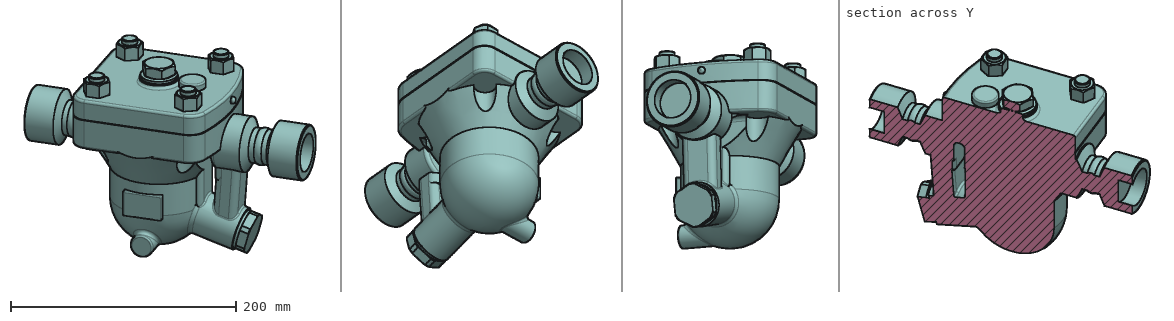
import cadquery as cq
import math


OVERLAP = 1.0
HEX_CHAMFER_ANGLE = 30.0

PLATE_SIDE_X = -62.5
PLATE_CROWN_X = 68.75
PLATE_HALF_WIDTH = 62.5
BOW_RADIUS = 177.0
FLAT_SIDE_CORNER = 14.0
BOWED_SIDE_CORNER = 16.8
FLANGE_BOTTOM = 1.3
GASKET_BOTTOM = 29.2
GASKET_THICKNESS = 0.5
GASKET_INSET = 0.4
COVER_TOP = 48.6
PLATE_EDGE_ROUND = 2.5

BOWL_RADIUS = 43.8
SPHERE_Z = -62.4
CONE_BOTTOM = -32.3
CONE_TOP = 6.0
CONE_HALF_ANGLE = 30.0

STUD_OFFSET = 43.1
STUD_DIAMETER = 14.0
STUD_TOP = 65.9
STUD_CHAMFER = 0.8
NUT_FLATS = 21.0
NUT_FACE_DIAMETER = 20.0
NUT_TOP = 61.6
NUT_RELIEF_DIAMETER = 20.0

PLUG_BOSS_DIAMETER = 33.0
PLUG_BOSS_TOP = 51.6
PLUG_GASKET_DIAMETER = 34.5
PLUG_GASKET_TOP = 53.0
PLUG_COLLAR_TOP = 55.3
PLUG_NECK_DIAMETER = 24.0
PLUG_HEX_FLATS = 26.6
PLUG_FACE_DIAMETER = 25.3
PLUG_HEX_BOTTOM = 55.8
PLUG_HEX_TOP = 66.4

PAD_X = 31.7
PAD_DIAMETER = 24.0
PAD_TOP = 55.3
PAD_ROUND = 1.5

KNOB_DIAMETER = 6.4
KNOB_Z = 40.6
KNOB_END_X = 72.4
KNOB_ROUND = 2.7

INLET_END_X = -118.5
OUTLET_END_X = 139.5
PIPE_DIAMETER = 50.4
NECK_DIAMETER = 32.0
WELD_DIAMETER = 34.0
SOCKET_BORE = 34.5
SOCKET_DEPTH = 14.0
END_CHAMFER = 1.0
BARREL_LENGTH = 27.7
NECK_START = 32.5
WELD_START = 37.4
WELD_END = 44.3
NECK_END = 49.5
TAPER_END = 54.7

SLOT_NEAR_X = 46.4
SLOT_FAR_X = 56.6
SLOT_TOP = 0.9
SLOT_CORNER = 4.0
OUTLET_NOSE_ROUND = 3.4

PASSAGE_WIDTH = 31.3
LEG_LENGTH_X = 22.1
LEG_TOP_CENTRE_X = 71.0
LEG_TILT = 4.0
LEG_CORNER = 6.4
UPRIGHT_CORNER = 7.8
LEG_HEIGHT = 85.0
LEG_KNEE_Z = -32.2
RIB_CORNER = 5.0
RIB_DEPTH = 20.0

BRANCH_TILT = 15.0
BRANCH_DIAMETER = 40.0
BRANCH_END = 80.5
BRANCH_ROOT_FILLET = 6.0
ROOT_SINK = 0.05
LEG_ROOT_FILLET = 1.8
RIB_ROOT_FILLET = 1.8
CAP_GASKET_DIAMETER = 36.0
CAP_HEX_START = 83.5
CAP_HEX_END = 92.2
CAP_FLATS = 36.0
CAP_TURNED_DIAMETER = 39.2
CAP_FACE_DIAMETER = 38.0

DRAIN_DIAMETER = 21.0
DRAIN_Z = -92.9
DRAIN_FACE_Y = -46.2
DRAIN_EDGE_ROUND = 1.5
DRAIN_ROOT_FILLET = 3.0

NAME_PAD_LENGTH = 36.4
NAME_PAD_HEIGHT = 24.0
NAME_PAD_Z = -54.3
NAME_PAD_FACE_Y = -44.8
NAME_PAD_DEPTH = 10.0
NAME_PAD_ROUND = 1.5
NAME_PAD_EDGE_ROUND = 1.0


def rod(diameter, start_z, end_z):
    """Cylinder on the Z axis."""
    return cq.Workplane("XY").workplane(offset=start_z).circle(diameter / 2).extrude(end_z - start_z)


def box_between(low, high):
    """Selector for edges whose centres lie in a box, widened slightly on every side."""
    return cq.selectors.BoxSelector(
        tuple(value - OVERLAP for value in low), tuple(value + OVERLAP for value in high)
    )


def hexagon(flats, start_z, end_z):
    """Hexagon on the Z axis with corners toward X."""
    prism = cq.Workplane("XY").polygon(6, corner_diameter(flats)).extrude(end_z - start_z)
    return prism.translate((0, 0, start_z))


def corner_diameter(flats):
    return flats / math.cos(math.radians(30))


def turned_hexagon(flats, start_z, end_z, turned_diameter, face_diameter, chamfered_faces):
    """Hexagon turned to a diameter, its chosen ends chamfered down to a round face."""
    run = (turned_diameter - face_diameter) / 2
    rise = run * math.tan(math.radians(HEX_CHAMFER_ANGLE))
    turned = rod(turned_diameter, start_z, end_z)
    for face in chamfered_faces:
        turned = turned.faces(face).chamfer(rise, run)
    return hexagon(flats, start_z, end_z).intersect(turned)


def plate(bottom, top, inset=0.0):
    """Plate with three flat sides and one bowed side."""
    half_width = PLATE_HALF_WIDTH - inset
    bow = BOW_RADIUS - inset
    crown = PLATE_CROWN_X - inset
    bow_end_x = crown - bow + math.sqrt(bow**2 - half_width**2)
    side_x = PLATE_SIDE_X + inset
    blank = (
        cq.Workplane("XY")
        .workplane(offset=bottom)
        .moveTo(side_x, -half_width)
        .lineTo(bow_end_x, -half_width)
        .threePointArc((crown, 0), (bow_end_x, half_width))
        .lineTo(side_x, half_width)
        .close()
        .extrude(top - bottom)
    )
    blank = blank.edges("|Z and <X").fillet(FLAT_SIDE_CORNER - inset)
    bow_ends = box_between((0, -half_width, bottom), (bow_end_x, half_width, top))
    return blank.edges("|Z").edges(bow_ends).fillet(BOWED_SIDE_CORNER - inset)


def make_plates():
    gasket_top = GASKET_BOTTOM + GASKET_THICKNESS
    flange = plate(FLANGE_BOTTOM, GASKET_BOTTOM).faces("<Z").edges().fillet(PLATE_EDGE_ROUND)
    cover = plate(gasket_top, COVER_TOP).faces(">Z").edges().fillet(PLATE_EDGE_ROUND)
    gasket = plate(GASKET_BOTTOM, gasket_top, GASKET_INSET)
    return flange.union(gasket).union(cover)


def make_bowl():
    """Bowl with its cone trimmed to the plate outline and relieved under the nuts."""
    cone_radius = BOWL_RADIUS + (CONE_TOP - CONE_BOTTOM) * math.tan(math.radians(CONE_HALF_ANGLE))
    sphere_bottom = SPHERE_Z - BOWL_RADIUS
    bowl = (
        cq.Workplane("XZ")
        .moveTo(0, sphere_bottom)
        .threePointArc(
            (BOWL_RADIUS * math.sin(math.pi / 4), SPHERE_Z - BOWL_RADIUS * math.cos(math.pi / 4)),
            (BOWL_RADIUS, SPHERE_Z),
        )
        .lineTo(BOWL_RADIUS, CONE_BOTTOM)
        .lineTo(cone_radius, CONE_TOP)
        .lineTo(0, CONE_TOP)
        .close()
        .revolve(360, (0, 0, 0), (0, 1, 0))
    )
    bowl = bowl.intersect(plate(sphere_bottom - OVERLAP, CONE_TOP))
    for x, y in stud_points():
        bowl = bowl.cut(rod(NUT_RELIEF_DIAMETER, CONE_BOTTOM, FLANGE_BOTTOM).translate((x, y, 0)))
    return bowl


def stud_points():
    return [(sx * STUD_OFFSET, sy * STUD_OFFSET) for sx in (-1, 1) for sy in (-1, 1)]


def make_studs():
    """Studs with nuts; neighbouring nuts are turned a quarter turn."""
    nut = turned_hexagon(
        NUT_FLATS, COVER_TOP - OVERLAP, NUT_TOP, corner_diameter(NUT_FLATS), NUT_FACE_DIAMETER, [">Z"]
    )
    stud = rod(STUD_DIAMETER, COVER_TOP - OVERLAP, STUD_TOP).faces(">Z").chamfer(STUD_CHAMFER)
    fastener = nut.union(stud)
    studs = cq.Workplane("XY")
    for x, y in stud_points():
        turn = 0 if x * y > 0 else 90
        studs = studs.union(fastener.rotate((0, 0, 0), (0, 0, 1), turn).translate((x, y, 0)))
    return studs


def make_vent_plug():
    boss_radius = PLUG_BOSS_DIAMETER / 2
    flare = PLUG_BOSS_TOP - COVER_TOP
    arc_drop = flare * (1 - math.sin(math.pi / 4))
    profile = (
        cq.Workplane("XZ")
        .moveTo(0, COVER_TOP - OVERLAP)
        .lineTo(boss_radius + flare, COVER_TOP - OVERLAP)
        .lineTo(boss_radius + flare, COVER_TOP)
        .threePointArc(
            (boss_radius + arc_drop, COVER_TOP + arc_drop),
            (boss_radius, PLUG_BOSS_TOP),
        )
        .lineTo(PLUG_GASKET_DIAMETER / 2, PLUG_BOSS_TOP)
        .lineTo(PLUG_GASKET_DIAMETER / 2, PLUG_GASKET_TOP)
        .lineTo(boss_radius, PLUG_GASKET_TOP)
        .lineTo(boss_radius, PLUG_COLLAR_TOP)
        .lineTo(PLUG_NECK_DIAMETER / 2, PLUG_HEX_BOTTOM)
        .lineTo(0, PLUG_HEX_BOTTOM)
        .close()
        .revolve(360, (0, 0, 0), (0, 1, 0))
    )
    head = turned_hexagon(
        PLUG_HEX_FLATS,
        PLUG_HEX_BOTTOM,
        PLUG_HEX_TOP,
        corner_diameter(PLUG_HEX_FLATS),
        PLUG_FACE_DIAMETER,
        ["<Z", ">Z"],
    )
    return profile.union(head)


def make_cover_details():
    pad = rod(PAD_DIAMETER, COVER_TOP - OVERLAP, PAD_TOP).faces(">Z").edges().fillet(PAD_ROUND)
    knob = (
        cq.Workplane("YZ")
        .center(0, KNOB_Z)
        .circle(KNOB_DIAMETER / 2)
        .extrude(KNOB_END_X)
        .faces(">X")
        .edges()
        .fillet(KNOB_ROUND)
    )
    return pad.translate((PAD_X, 0, 0)).union(knob)


def make_pipe_end(inner_length, nose_round=0.0):
    """Socket pipe end running along +X from its end face at X = 0."""
    pipe_radius = PIPE_DIAMETER / 2
    neck_radius = NECK_DIAMETER / 2
    bore_radius = SOCKET_BORE / 2
    pipe = (
        cq.Workplane("XY")
        .moveTo(SOCKET_DEPTH, 0)
        .lineTo(SOCKET_DEPTH, bore_radius)
        .lineTo(0, bore_radius)
        .lineTo(0, pipe_radius - END_CHAMFER)
        .lineTo(END_CHAMFER, pipe_radius)
        .lineTo(BARREL_LENGTH, pipe_radius)
        .lineTo(NECK_START, neck_radius)
        .lineTo(WELD_START, neck_radius)
        .threePointArc(((WELD_START + WELD_END) / 2, WELD_DIAMETER / 2), (WELD_END, neck_radius))
        .lineTo(NECK_END, neck_radius)
        .lineTo(TAPER_END, pipe_radius)
        .lineTo(inner_length, pipe_radius)
        .lineTo(inner_length, 0)
        .close()
        .revolve(360, (0, 0, 0), (1, 0, 0))
    )
    if nose_round:
        pipe = pipe.faces(">X").edges().fillet(nose_round)
    return pipe


def make_inlet():
    return make_pipe_end(-INLET_END_X).translate((INLET_END_X, 0, 0))


def make_outlet():
    """Outlet pipe with a rounded inner end, joined to the bowl by a core inside the flange."""
    pipe = make_pipe_end(OUTLET_END_X - SLOT_FAR_X, OUTLET_NOSE_ROUND)
    pipe = pipe.rotate((0, 0, 0), (0, 0, 1), 180).translate((OUTLET_END_X, 0, 0))
    core_radius = PIPE_DIAMETER / 2 - OUTLET_NOSE_ROUND
    core = cq.Workplane("YZ").circle(core_radius).extrude(SLOT_FAR_X + OUTLET_NOSE_ROUND)
    return pipe.union(core)


def make_slot():
    height = SLOT_TOP - SPHERE_Z
    width = SLOT_FAR_X - SLOT_NEAR_X
    slot = cq.Workplane("XY").box(width, 2 * PLATE_HALF_WIDTH, height)
    slot = slot.edges("|Y and >Z").fillet(SLOT_CORNER)
    return slot.translate(((SLOT_NEAR_X + SLOT_FAR_X) / 2, 0, (SLOT_TOP + SPHERE_Z) / 2))


def leg_section(height, corner):
    """Upright bar with the rounded section of the leg, hanging below the XY plane."""
    bar = cq.Workplane("XY").rect(LEG_LENGTH_X, PASSAGE_WIDTH).extrude(-height)
    return bar.edges("|Z").fillet(corner)


def make_leg():
    """Tilted leg below the outlet, with an upright stretch beside the slot at its top."""
    tilted = leg_section(LEG_HEIGHT, LEG_CORNER).rotate((0, 0, 0), (0, 1, 0), LEG_TILT)
    upright = leg_section(-LEG_KNEE_Z, UPRIGHT_CORNER).translate((SLOT_FAR_X + LEG_LENGTH_X / 2, 0, 0))
    return tilted.translate((LEG_TOP_CENTRE_X, 0, 0)).union(upright)


def along_branch(shape):
    """Move a shape from the Z axis onto the branch axis."""
    return shape.rotate((0, 0, 0), (0, 1, 0), 90 + BRANCH_TILT).translate((0, 0, SPHERE_Z))


def make_branch_root():
    """Concave flare that runs the branch smoothly into the sphere, its thin edges sunk into both."""
    branch_radius = BRANCH_DIAMETER / 2 - ROOT_SINK
    sphere_radius = BOWL_RADIUS - ROOT_SINK
    arc_centre_x = branch_radius + BRANCH_ROOT_FILLET
    arc_centre_distance = sphere_radius + BRANCH_ROOT_FILLET
    arc_centre_z = math.sqrt(arc_centre_distance**2 - arc_centre_x**2)
    sphere_share = sphere_radius / arc_centre_distance
    sphere_angle = math.atan2(-arc_centre_z, -arc_centre_x)
    middle_angle = (sphere_angle - math.pi) / 2
    root = (
        cq.Workplane("XZ")
        .lineTo(arc_centre_x * sphere_share, arc_centre_z * sphere_share)
        .threePointArc(
            (
                arc_centre_x + BRANCH_ROOT_FILLET * math.cos(middle_angle),
                arc_centre_z + BRANCH_ROOT_FILLET * math.sin(middle_angle),
            ),
            (branch_radius, arc_centre_z),
        )
        .lineTo(0, arc_centre_z)
        .close()
        .revolve(360, (0, 0, 0), (0, 1, 0))
    )
    return along_branch(root)


def make_rib():
    return (
        cq.Workplane("XY")
        .workplane(offset=SPHERE_Z)
        .center(SLOT_NEAR_X - RIB_DEPTH / 2, 0)
        .rect(RIB_DEPTH, PASSAGE_WIDTH)
        .extrude(-SPHERE_Z)
        .edges("|Z and >X")
        .fillet(RIB_CORNER)
    )


def branch_axis_z(x):
    """Height of the branch axis at a given X."""
    return SPHERE_Z - x * math.tan(math.radians(BRANCH_TILT))


def make_branch():
    """Branch carrying the leg and the rib, filleted where they stand on it."""
    half_width = PASSAGE_WIDTH / 2
    branch_radius = BRANCH_DIAMETER / 2
    leg_end_x = LEG_TOP_CENTRE_X + LEG_LENGTH_X / 2
    leg_root = box_between(
        (SLOT_NEAR_X, -half_width, branch_axis_z(SLOT_NEAR_X) + LEG_ROOT_FILLET),
        (leg_end_x, half_width, branch_axis_z(SLOT_FAR_X) + branch_radius),
    )
    rib_root = box_between(
        (SLOT_NEAR_X - RIB_CORNER, -half_width, SPHERE_Z),
        (SLOT_NEAR_X, half_width, branch_axis_z(SLOT_NEAR_X) + branch_radius),
    )
    plain_branch = along_branch(rod(BRANCH_DIAMETER, 0, BRANCH_END))
    with_leg = plain_branch.union(make_leg()).edges(leg_root).fillet(LEG_ROOT_FILLET)
    return with_leg.union(make_rib()).edges(rib_root).fillet(RIB_ROOT_FILLET)


def make_cap():
    gasket = rod(CAP_GASKET_DIAMETER, BRANCH_END - OVERLAP, CAP_HEX_START)
    head = turned_hexagon(
        CAP_FLATS, CAP_HEX_START, CAP_HEX_END, CAP_TURNED_DIAMETER, CAP_FACE_DIAMETER, ["<Z", ">Z"]
    )
    return along_branch(gasket.union(head))


def make_drained_bowl():
    """Bowl with the drain stub on its -Y side, filleted into the sphere."""
    drain = (
        cq.Workplane("XZ")
        .center(0, DRAIN_Z)
        .circle(DRAIN_DIAMETER / 2)
        .extrude(-DRAIN_FACE_Y)
        .faces("<Y")
        .edges()
        .fillet(DRAIN_EDGE_ROUND)
    )
    drain_radius = DRAIN_DIAMETER / 2
    root = box_between(
        (-drain_radius, -BOWL_RADIUS, DRAIN_Z - drain_radius), (drain_radius, 0, DRAIN_Z + drain_radius)
    )
    bowl = make_bowl().union(drain)
    return bowl.edges("%BSPLINE").edges(root).fillet(DRAIN_ROOT_FILLET)


def make_name_pad():
    pad = cq.Workplane("XY").box(NAME_PAD_LENGTH, NAME_PAD_DEPTH, NAME_PAD_HEIGHT)
    pad = pad.edges("|Y").fillet(NAME_PAD_ROUND).faces("<Y").edges().fillet(NAME_PAD_EDGE_ROUND)
    return pad.translate((0, NAME_PAD_FACE_Y + NAME_PAD_DEPTH / 2, NAME_PAD_Z))


result = make_drained_bowl().union(make_outlet()).cut(make_slot())
result = result.union(make_branch()).union(make_branch_root())
result = result.union(make_inlet()).union(make_plates())
result = result.union(make_cap()).union(make_name_pad())
result = result.union(make_studs()).union(make_vent_plug()).union(make_cover_details())